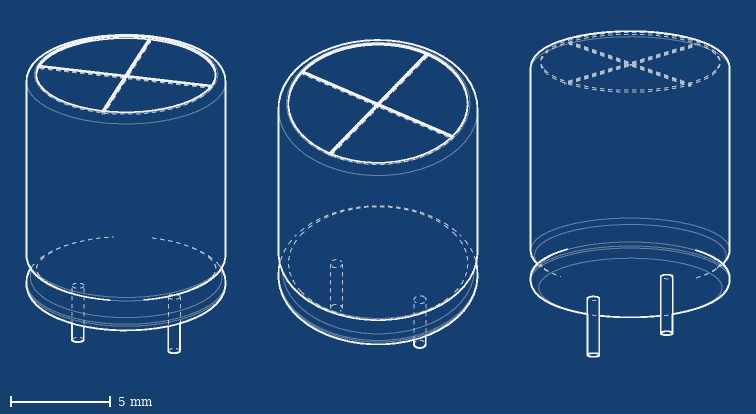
import cadquery as cq
import math

BODY_DIAMETER = 10.0
BODY_HEIGHT = 12.0
RIM_FILLET = 0.4

GROOVE_CENTER_Z = 1.25
GROOVE_RADIUS = 0.5
GROOVE_EDGE_FILLET = 0.3

DISC_DIAMETER = 9.0
DISC_DEPTH = 0.1
SCORE_LENGTH = 8.9
SCORE_WIDTH = 0.1
SCORE_DEPTH = 0.1

LEAD_DIAMETER = 0.6
LEAD_PITCH = 5.0
LEAD_LENGTH = 3.0
LEAD_EMBED = 1.0

BODY_RADIUS = BODY_DIAMETER / 2
FLOOR_Z = BODY_HEIGHT - DISC_DEPTH


def polar(center, radius, angle):
    """Point at the given angle (radians) on a circle in the (r, z) plane."""
    r, z = center
    return (r + radius * math.cos(angle), z + radius * math.sin(angle))


def make_can():
    """Revolve the half outline, with rounded rims and a blended groove."""
    groove_center = (BODY_RADIUS, GROOVE_CENTER_Z)
    edge_r = BODY_RADIUS - GROOVE_EDGE_FILLET
    center_distance = GROOVE_RADIUS + GROOVE_EDGE_FILLET
    blend_angle = math.acos(GROOVE_EDGE_FILLET / center_distance)
    edge_rise = center_distance * math.sin(blend_angle)
    lower_center = (edge_r, GROOVE_CENTER_Z - edge_rise)
    upper_center = (edge_r, GROOVE_CENTER_Z + edge_rise)

    rim_r = BODY_RADIUS - RIM_FILLET
    bottom_center = (rim_r, RIM_FILLET)
    top_center = (rim_r, BODY_HEIGHT - RIM_FILLET)
    eighth_turn = math.pi / 4

    outline = (
        cq.Workplane("XZ")
        .lineTo(rim_r, 0)
        .threePointArc(polar(bottom_center, RIM_FILLET, -eighth_turn), (BODY_RADIUS, RIM_FILLET))
        .lineTo(*polar(lower_center, GROOVE_EDGE_FILLET, 0))
        .threePointArc(
            polar(lower_center, GROOVE_EDGE_FILLET, blend_angle / 2),
            polar(lower_center, GROOVE_EDGE_FILLET, blend_angle),
        )
        .threePointArc(
            polar(groove_center, GROOVE_RADIUS, math.pi),
            polar(groove_center, GROOVE_RADIUS, math.pi - blend_angle),
        )
        .threePointArc(
            polar(upper_center, GROOVE_EDGE_FILLET, -blend_angle / 2),
            polar(upper_center, GROOVE_EDGE_FILLET, 0),
        )
        .lineTo(BODY_RADIUS, BODY_HEIGHT - RIM_FILLET)
        .threePointArc(polar(top_center, RIM_FILLET, eighth_turn), (rim_r, BODY_HEIGHT))
        .lineTo(0, BODY_HEIGHT)
        .close()
    )
    return outline.revolve(360, (0, 0, 0), (0, 1, 0))


def make_disc_recess():
    return cq.Workplane("XY").workplane(offset=FLOOR_Z).circle(DISC_DIAMETER / 2).extrude(DISC_DEPTH)


def make_vent_score():
    """Two crossed slots sunk into the floor of the top disc."""
    plane = cq.Workplane("XY").workplane(offset=FLOOR_Z)
    along_x = plane.rect(SCORE_LENGTH, SCORE_WIDTH).extrude(-SCORE_DEPTH)
    along_y = plane.rect(SCORE_WIDTH, SCORE_LENGTH).extrude(-SCORE_DEPTH)
    return along_x.union(along_y)


def make_leads():
    """Two round leads, rooted inside the can so they fuse with it."""
    return (
        cq.Workplane("XY")
        .workplane(offset=-LEAD_LENGTH)
        .pushPoints([(-LEAD_PITCH / 2, 0), (LEAD_PITCH / 2, 0)])
        .circle(LEAD_DIAMETER / 2)
        .extrude(LEAD_LENGTH + LEAD_EMBED)
    )


result = make_can().cut(make_disc_recess()).cut(make_vent_score()).union(make_leads())